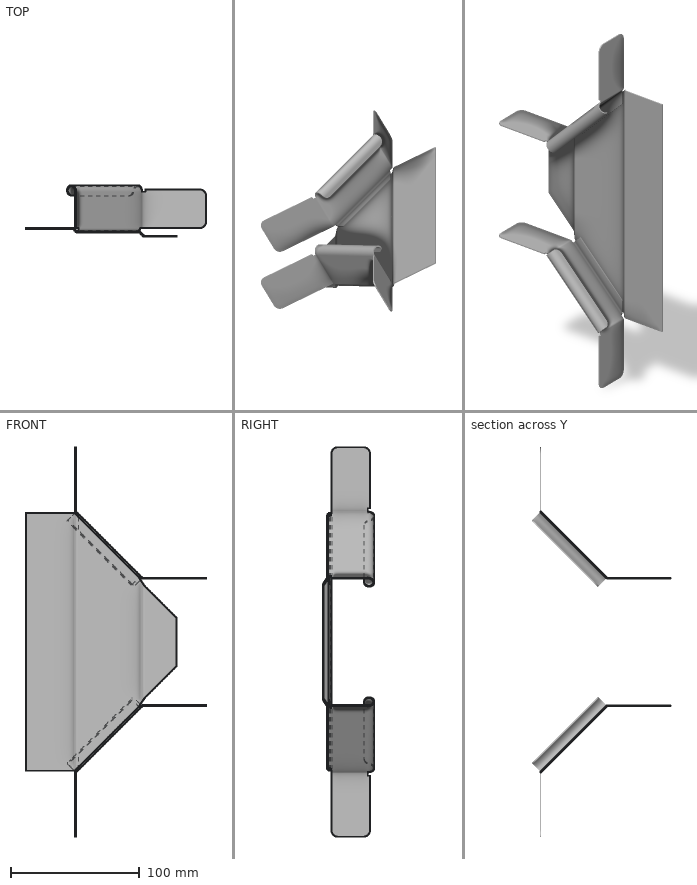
import cadquery as cq
import math


TOTAL_WIDTH = 140.0
TOTAL_DEPTH = 40.2
TOTAL_HEIGHT = 302.5

SHEET = 1.0
BEND_RADIUS = 1.5 * SHEET

FLANGE_HALF_HEIGHT = 100.0
FLANGE_STEP = 2.7
PANEL_STEP = 3.3
FLANGE_END_X = 37.0
PANEL_END_X = 88.3
SLOPE_START_X = 37.8
SLOPE_END_X = 87.7
END_TAB_ROOT_X = 92.3
END_TAB_ROOT_HALF_HEIGHT = 43.5
END_TAB_TIP_X = 117.0

PANEL_HALF_HEIGHT = FLANGE_HALF_HEIGHT - (SLOPE_END_X - SLOPE_START_X)
END_TAB_TIP_HALF_HEIGHT = END_TAB_ROOT_HALF_HEIGHT - (END_TAB_TIP_X - END_TAB_ROOT_X)
PANEL_BACK_Y = PANEL_STEP + SHEET

TAB_BACK_Y = 37.0
CORNER_RADIUS = 5.0
WALL_START_X = 39.0
WALL_END_Z = 50.0
WALL_START_Z = 101.3
WALL_SPAN = WALL_START_Z - WALL_END_Z
WALL_END_X = WALL_START_X + WALL_SPAN
WALL_LENGTH = WALL_SPAN * math.sqrt(2)
NECK_LENGTH = 2.5

FOOT_BEND_RADIUS = 2.5
FOOT_WIDTH = 9.0
FOOT_START_X = 40.8
FOOT_END_RELIEF = 2.0
WALL_FRONT_Y = PANEL_BACK_Y + FOOT_BEND_RADIUS

LIP_RADIUS = 5.0
LIP_EDGE_LENGTH = 3.0
WALL_BACK_Y = TOTAL_DEPTH - LIP_RADIUS

WALL_SECTION = cq.Plane(
    origin=(WALL_START_X, 0, WALL_START_Z), xDir=(-1, 0, -1), normal=(1, 0, -1)
)


def bent_sheet(middle_path):
    """Face of a bent sheet whose middle follows the given points, with rounded ends."""
    path = cq.Wire.makePolygon([cq.Vector(*point) for point in middle_path])
    outline = path.fillet(BEND_RADIUS, []).offset2D(SHEET / 2)[0]
    return cq.Face.makeFromWires(outline)


def make_plate():
    """Stepped front plate with its 45 degree edges."""
    flange_y = PANEL_STEP + FLANGE_STEP + SHEET / 2
    panel_y = PANEL_STEP + SHEET / 2
    end_tab_y = SHEET / 2
    face = bent_sheet([
        (-SHEET, flange_y, 0),
        (FLANGE_END_X, flange_y, 0),
        (FLANGE_END_X + FLANGE_STEP, panel_y, 0),
        (PANEL_END_X, panel_y, 0),
        (PANEL_END_X + PANEL_STEP, end_tab_y, 0),
        (END_TAB_TIP_X + SHEET, end_tab_y, 0),
    ])
    sheet = cq.Workplane("XY").add(face).toPending().extrude(FLANGE_HALF_HEIGHT, both=True)

    upper_edge = [
        (0, FLANGE_HALF_HEIGHT),
        (SLOPE_START_X, FLANGE_HALF_HEIGHT),
        (SLOPE_END_X, PANEL_HALF_HEIGHT),
        (END_TAB_ROOT_X, END_TAB_ROOT_HALF_HEIGHT),
        (END_TAB_TIP_X, END_TAB_TIP_HALF_HEIGHT),
    ]
    lower_edge = [(x, -z) for x, z in reversed(upper_edge)]
    outline = cq.Workplane("XZ").polyline(upper_edge + lower_edge).close().extrude(-TOTAL_DEPTH)
    return sheet.intersect(outline).solids().val()


def make_strip():
    """The two tabs and the wall between them."""
    half = SHEET / 2
    corner_shift = half * math.tan(math.radians(45) / 2)
    start_x = WALL_START_X - half
    end_z = WALL_END_Z - half
    face = bent_sheet([
        (start_x, WALL_FRONT_Y, TOTAL_HEIGHT / 2 + SHEET),
        (start_x, WALL_FRONT_Y, WALL_START_Z - corner_shift),
        (WALL_END_X - corner_shift, WALL_FRONT_Y, end_z),
        (TOTAL_WIDTH + SHEET, WALL_FRONT_Y, end_z),
    ])
    width = TAB_BACK_Y - WALL_FRONT_Y
    strip = cq.Workplane(cq.Solid.extrudeLinear(face, cq.Vector(0, width, 0)))
    trim = cq.Workplane().box(TOTAL_WIDTH, TOTAL_DEPTH, TOTAL_HEIGHT / 2, centered=False)
    strip = strip.intersect(trim)
    strip = strip.faces(">Z").edges("|X").fillet(CORNER_RADIUS)
    strip = strip.faces(">X").edges("|Z").fillet(CORNER_RADIUS)

    neck_cut = cq.Workplane().box(
        WALL_END_X + NECK_LENGTH, TOTAL_DEPTH, WALL_START_Z + NECK_LENGTH, centered=False
    ).translate((0, WALL_BACK_Y, 0))
    return strip.cut(neck_cut)


def make_foot():
    """Bend and flange that carry the wall on the back of the panel."""
    def bend_middle(radius):
        reach = radius * math.sqrt(0.5)
        return FOOT_BEND_RADIUS - reach, WALL_FRONT_Y - reach

    foot = (
        cq.Workplane(WALL_SECTION)
        .moveTo(0, WALL_FRONT_Y)
        .threePointArc(bend_middle(FOOT_BEND_RADIUS), (FOOT_BEND_RADIUS, PANEL_BACK_Y))
        .lineTo(FOOT_WIDTH, PANEL_BACK_Y)
        .lineTo(FOOT_WIDTH, PANEL_BACK_Y + SHEET)
        .lineTo(FOOT_BEND_RADIUS, PANEL_BACK_Y + SHEET)
        .threePointArc(bend_middle(FOOT_BEND_RADIUS - SHEET), (SHEET, WALL_FRONT_Y))
        .close()
        .extrude(WALL_LENGTH - FOOT_END_RELIEF)
    )
    clearance = cq.Workplane().box(FOOT_START_X, TOTAL_DEPTH, TOTAL_HEIGHT, centered=False)
    return foot.cut(clearance)


def make_lip():
    """Curl along the back of the wall."""
    width = 2 * LIP_RADIUS
    edge_y = WALL_BACK_Y - LIP_EDGE_LENGTH
    lip = (
        cq.Workplane(WALL_SECTION)
        .moveTo(0, WALL_BACK_Y)
        .threePointArc((LIP_RADIUS, TOTAL_DEPTH), (width, WALL_BACK_Y))
        .lineTo(width, edge_y)
        .lineTo(width - SHEET, edge_y)
        .lineTo(width - SHEET, WALL_BACK_Y)
        .threePointArc((LIP_RADIUS, TOTAL_DEPTH - SHEET), (SHEET, WALL_BACK_Y))
        .close()
        .extrude(WALL_LENGTH)
    )
    edge_block = (
        cq.Workplane(WALL_SECTION)
        .moveTo(LIP_RADIUS, edge_y)
        .lineTo(width, edge_y)
        .lineTo(width, TOTAL_DEPTH)
        .lineTo(LIP_RADIUS, TOTAL_DEPTH)
        .close()
        .extrude(WALL_LENGTH)
    )
    across_lip = cq.selectors.ParallelDirSelector(WALL_SECTION.xDir)
    rounded_block = edge_block.faces("<Y").edges(across_lip).fillet(CORNER_RADIUS)
    return lip.cut(edge_block.cut(rounded_block))


def make_bracket(side):
    """Upper bracket for side +1, its mirror image for side -1."""
    bracket = make_strip().union(make_foot()).union(make_lip()).solids().val()
    return bracket if side > 0 else bracket.mirror("XY")


plate = make_plate()
brackets = [make_bracket(side) for side in (1, -1)]

result = cq.Compound.makeCompound([plate, *brackets])